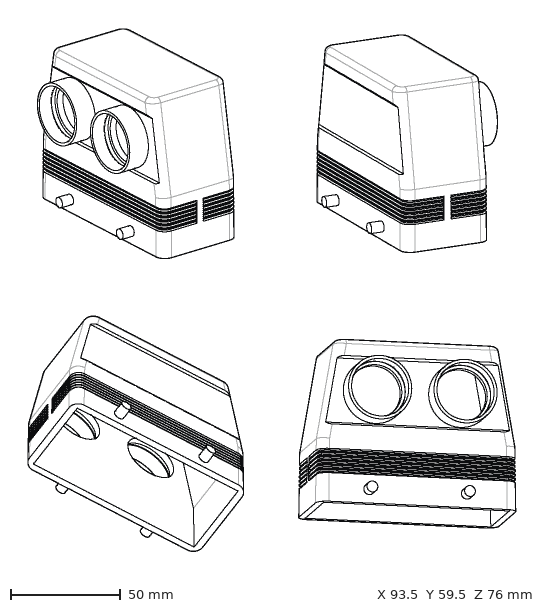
import cadquery as cq
import math

HEIGHT = 76.0
LENGTH = 93.5
WIDTH = 43.4
SHOULDER_Z = 29.8
SHOULDER_LENGTH = 92.75
END_LEAN = 10.0
CORNER_RADIUS = 5.05
TOP_ROUND = 2.3

END_WALL = 3.4
SIDE_WALL = 3.1
TOP_WALL = 3.4

PANEL_BOTTOM = 36.9
PANEL_TOP = 66.9
PANEL_DEPTH = 0.9
PANEL_LOWER_RISE = 0.9
PANEL_UPPER_RISE = 1.1

GROOVE_COUNT = 6
GROOVE_PITCH = 2.0
GROOVE_START = 13.3
GROOVE_HEIGHT = 1.5
GROOVE_FLOOR = 0.6
GROOVE_DEPTH = 0.9
GRIP_GAP = 3.7

COLLAR_SPACING = 39.9
COLLAR_Z = 52.1
COLLAR_RADIUS = 14.8
COLLAR_END = 31.4
COLLAR_BORE_RADIUS = 13.4
COLLAR_BORE_DEPTH = 9.4
UNDERCUT_RADIUS = 13.9
UNDERCUT_LENGTH = 2.4
ENTRY_RADIUS = 12.3

PIN_SPACING = 45.6
PIN_Z = 6.45
PIN_RADIUS = 2.5
PIN_END = 28.05

half_width = WIDTH / 2
inner_half_width = half_width - SIDE_WALL


def end_profile_prism(base_half, shoulder_half, top_z, width):
    """Prism along Y with the hood's end outline: nearly upright to the shoulder, leaning above it."""
    top_half = shoulder_half - (top_z - SHOULDER_Z) * math.tan(math.radians(END_LEAN))
    outline = [
        (-base_half, 0),
        (base_half, 0),
        (shoulder_half, SHOULDER_Z),
        (top_half, top_z),
        (-top_half, top_z),
        (-shoulder_half, SHOULDER_Z),
    ]
    return cq.Workplane("XZ").polyline(outline).close().extrude(width / 2, both=True)


def side_cylinder(x, z, radius, y_from, y_to):
    """Cylinder along Y between two Y positions."""
    return cq.Workplane("XZ", origin=(x, y_from, z)).circle(radius).extrude(y_from - y_to)


def outer_hood():
    hood = end_profile_prism(LENGTH / 2, SHOULDER_LENGTH / 2, HEIGHT, WIDTH)
    corner_edges = hood.faces("<Y or >Y").edges("not #Z")
    hood = corner_edges.fillet(CORNER_RADIUS)
    return hood.faces(">Z").edges().fillet(TOP_ROUND)


def cavity():
    """Inside of the hood, following the outer end outline and open at the bottom."""
    return end_profile_prism(
        LENGTH / 2 - END_WALL,
        SHOULDER_LENGTH / 2 - END_WALL,
        HEIGHT - TOP_WALL,
        2 * inner_half_width,
    )


def side_panels():
    """Recess bars for both long sides, with sloping upper and lower flanks."""
    floor_y = half_width - PANEL_DEPTH
    section = [
        (floor_y, PANEL_BOTTOM),
        (half_width, PANEL_BOTTOM - PANEL_LOWER_RISE),
        (half_width, PANEL_TOP + PANEL_UPPER_RISE),
        (floor_y, PANEL_TOP),
    ]
    bar = cq.Workplane("YZ").polyline(section).close().extrude(LENGTH / 2, both=True)
    return bar.union(bar.mirror("XZ"))


def rounded_block(z, height, inset, length, taper):
    """Rounded rectangle extruded up from z, inset from the hood outline."""
    outline = (
        cq.Sketch()
        .rect(length - 2 * inset, WIDTH - 2 * inset)
        .vertices()
        .fillet(CORNER_RADIUS - inset)
    )
    return cq.Workplane("XY", origin=(0, 0, z)).placeSketch(outline).extrude(height, taper=taper)


def grip_groove(z):
    """Flat-floored groove with sloping flanks around the base, interrupted mid-way along each end."""
    flank_height = (GROOVE_HEIGHT - GROOVE_FLOOR) / 2
    flank_angle = math.degrees(math.atan2(GROOVE_DEPTH, flank_height))
    length_loss = (LENGTH - SHOULDER_LENGTH) / SHOULDER_Z
    length = LENGTH - length_loss * (z + GROOVE_HEIGHT / 2)

    floor_core = rounded_block(z, GROOVE_HEIGHT, GROOVE_DEPTH, length, 0)
    lower_flank = rounded_block(z, flank_height, 0, length, flank_angle)
    upper_flank = lower_flank.mirror("XY", (0, 0, z + GROOVE_HEIGHT / 2))
    end_gap = cq.Workplane("XY", origin=(0, 0, z)).rect(2 * LENGTH, GRIP_GAP)
    end_gap = end_gap.extrude(GROOVE_HEIGHT)
    ring = cq.Workplane("XY", origin=(0, 0, z)).rect(2 * LENGTH, 2 * WIDTH).extrude(GROOVE_HEIGHT)
    return ring.cut(floor_core).cut(lower_flank).cut(upper_flank).cut(end_gap)


def collar_body(x):
    return side_cylinder(x, COLLAR_Z, COLLAR_RADIUS, -COLLAR_END, -inner_half_width)


def collar_opening(x):
    """Stepped bore into the cavity: main bore, undercut at its floor, smaller cable entry."""
    bore_floor = COLLAR_BORE_DEPTH - COLLAR_END
    undercut_start = bore_floor - UNDERCUT_LENGTH
    bore = side_cylinder(x, COLLAR_Z, COLLAR_BORE_RADIUS, -COLLAR_END, bore_floor)
    undercut = side_cylinder(x, COLLAR_Z, UNDERCUT_RADIUS, undercut_start, bore_floor)
    entry = side_cylinder(x, COLLAR_Z, ENTRY_RADIUS, bore_floor, 0)
    return bore.union(undercut).union(entry)


def locking_pin(x, side):
    """Pin standing out from the wall on the +Y (side 1) or -Y (side -1) face."""
    return side_cylinder(x, PIN_Z, PIN_RADIUS, side * inner_half_width, side * PIN_END)


result = outer_hood().cut(side_panels())
for groove in range(GROOVE_COUNT):
    result = result.cut(grip_groove(GROOVE_START + groove * GROOVE_PITCH))
result = result.cut(cavity())

for end in (-1, 1):
    collar_x = end * COLLAR_SPACING / 2
    result = result.union(collar_body(collar_x)).cut(collar_opening(collar_x))
    for side in (-1, 1):
        result = result.union(locking_pin(end * PIN_SPACING / 2, side))